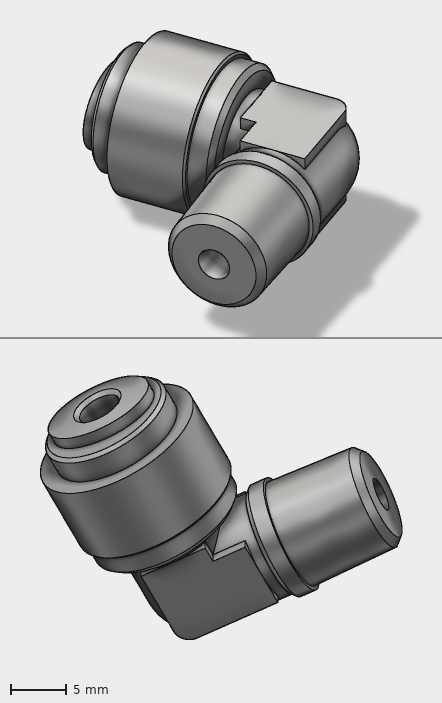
import cadquery as cq

pipe_radius = 5.0
bore_radius = 1.55

neck_start = -5.8
collar_start = -8.22
sleeve_start = -16.0
cap_start = -18.52
button_rim = -19.68
button_tip = -19.87
collar_radius = 7.22
collar_chamfer = 0.53
sleeve_radius = 7.75
sleeve_chamfer = 0.2
cap_radius = 6.11
cap_chamfer = 0.35
button_half_width = 5.09
button_half_height = 4.0
tube_radius = 2.0
mouth_radius = 2.4
mouth_depth = mouth_radius - tube_radius

flange_top = -7.5
flange_bevel_end = -7.98
flange_bottom = -9.5
taper_end = -17.87
stud_tip = -18.6
flange_radius = 5.53
flange_bevel_radius = 5.1
taper_base_radius = 5.15
taper_end_radius = 4.93
stud_tip_radius = 4.22

flat_half_width = 3.25
flat_left = -4.8
flat_bottom = -6.5
flat_corner_radius = 1.58


def rod_along_x(start, end, radius):
    return cq.Workplane("YZ").workplane(offset=start).circle(radius).extrude(end - start)


def make_socket():
    cap = rod_along_x(cap_start, sleeve_start, cap_radius).faces("<X").chamfer(cap_chamfer)
    sleeve = rod_along_x(sleeve_start, collar_start, sleeve_radius).faces(">X").chamfer(sleeve_chamfer)
    collar = rod_along_x(collar_start, neck_start, collar_radius).faces(">X").chamfer(collar_chamfer)
    neck = rod_along_x(neck_start, 0, pipe_radius)
    return cap.union(sleeve).union(collar).union(neck)


def make_release_button():
    """Oval button whose face rises gently to the round tube mouth."""
    body = (
        cq.Workplane("YZ").workplane(offset=cap_start)
        .ellipse(button_half_width, button_half_height).extrude(button_rim - cap_start)
    )
    face = (
        cq.Workplane("YZ").workplane(offset=button_rim)
        .ellipse(button_half_width, button_half_height)
        .workplane(offset=button_tip - button_rim).circle(mouth_radius).loft()
    )
    return body.union(face)


def make_stud():
    """Pipe leg, bevelled flange and tapered end turned about the Y axis."""
    return (
        cq.Workplane("XY")
        .polyline([
            (0, 0),
            (pipe_radius, 0),
            (pipe_radius, flange_top),
            (flange_bevel_radius, flange_top),
            (flange_radius, flange_bevel_end),
            (flange_radius, flange_bottom),
            (taper_base_radius, flange_bottom),
            (taper_end_radius, taper_end),
            (stud_tip_radius, stud_tip),
            (0, stud_tip),
        ])
        .close()
        .revolve(360, (0, 0, 0), (0, 1, 0))
    )


def make_wrench_flats():
    return (
        cq.Workplane("XY")
        .polyline([
            (flat_left, flat_half_width),
            (flat_half_width, flat_half_width),
            (flat_half_width, flat_bottom),
            (-flat_half_width, flat_bottom),
            (-flat_half_width, -flat_half_width),
            (flat_left, -flat_half_width),
        ])
        .close()
        .extrude(pipe_radius, both=True)
        .edges("|Z and >X and >Y").fillet(flat_corner_radius)
    )


def make_passage():
    """Chamfered tube socket and the narrower bore turning through the elbow."""
    mouth = (
        cq.Workplane("YZ").workplane(offset=button_tip).circle(mouth_radius)
        .workplane(offset=mouth_depth).circle(tube_radius).loft()
    )
    tube_socket = rod_along_x(button_tip, neck_start, tube_radius)
    inlet = rod_along_x(neck_start, 0, bore_radius)
    outlet = cq.Workplane("XZ").circle(bore_radius).extrude(-stud_tip)
    corner = cq.Workplane("XY").sphere(bore_radius)
    return mouth.union(tube_socket).union(inlet).union(outlet).union(corner)


elbow_corner = cq.Workplane("XY").sphere(pipe_radius)
body = make_socket().union(make_release_button()).union(make_stud())
body = body.union(elbow_corner).union(make_wrench_flats())
result = body.cut(make_passage())